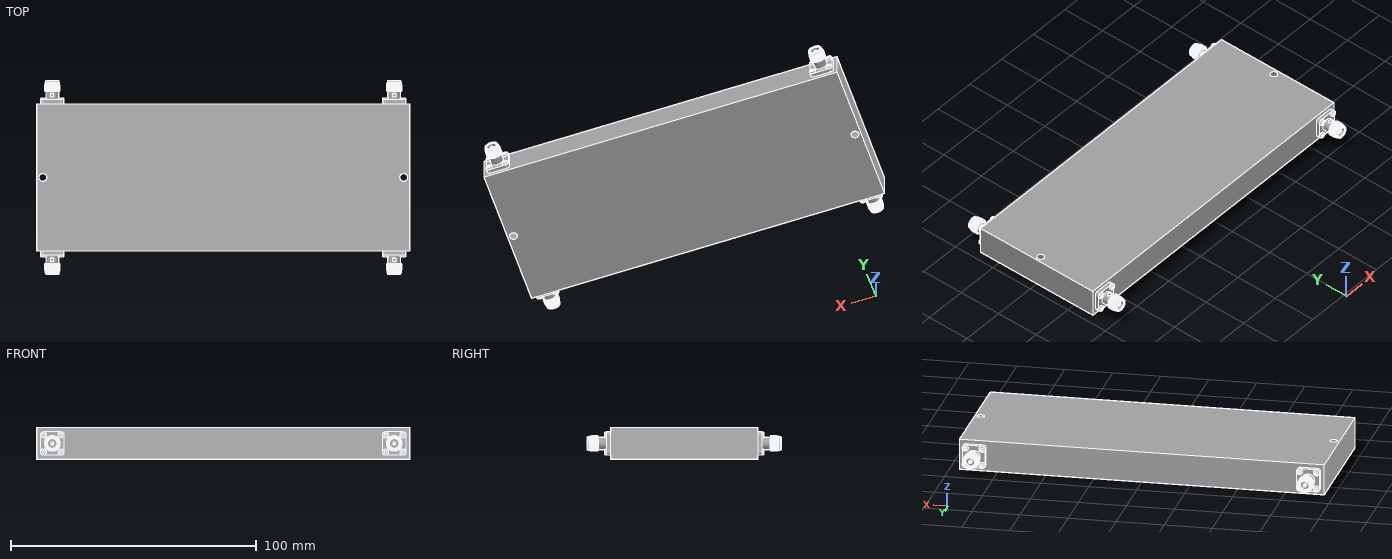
import cadquery as cq
import math

HOUSING_LENGTH = 152.0
HOUSING_WIDTH = 60.0
HOUSING_HEIGHT = 13.0
MOUNT_HOLE_DIAMETER = 3.1
MOUNT_HOLE_INSET = 2.5

OVERALL_WIDTH = 79.05
CONNECTOR_LENGTH = (OVERALL_WIDTH - HOUSING_WIDTH) / 2
CONNECTOR_INSET = 6.35
FLANGE_SIZE = 9.525
FLANGE_THICKNESS = 1.65
FLANGE_CORNER_RADIUS = 1.2

BARREL_DIAMETER = 5.3
THREAD_DIAMETER = 6.35
THREAD_START = 5.0
THREAD_PITCH = 25.4 / 36
THREAD_COUNT = math.floor((CONNECTOR_LENGTH - THREAD_START) / THREAD_PITCH)
THREAD_CREST = THREAD_PITCH * 0.4
NOSE_TAPER_LENGTH = 2.0

MOUTH_DIAMETER = 4.0
MOUTH_CHAMFER = 0.3
MOUTH_DEPTH = 1.9
CONTACT_DIAMETER = 1.2
CONTACT_PROTRUSION = 1.2
CONTACT_BORE_DIAMETER = 0.9
CONTACT_BORE_DEPTH = 2.5

SIDE_HOLE_DIAMETER = 1.6
SIDE_HOLE_POSITION = 3.5
SIDE_HOLE_DEPTH = 1.2

SCREW_SPACING = 7.0
SCREW_HEAD_DIAMETER = 2.5
SCREW_HEAD_HEIGHT = 0.8
SCREW_HEAD_FILLET = 0.4
SCREW_SOCKET_SIZE = 1.0
SCREW_SOCKET_DEPTH = 0.5


def make_housing():
    """Plain box with a vertical through hole near the middle of each short end."""
    hole_x = HOUSING_LENGTH / 2 - MOUNT_HOLE_INSET
    return (
        cq.Workplane("XY")
        .box(HOUSING_LENGTH, HOUSING_WIDTH, HOUSING_HEIGHT)
        .faces(">Z")
        .workplane()
        .pushPoints([(-hole_x, 0), (hole_x, 0)])
        .hole(MOUNT_HOLE_DIAMETER)
    )


def make_barrel():
    """Barrel along +Z with evenly spaced thread ridges that taper down at the nose."""
    root = BARREL_DIAMETER / 2
    crest = THREAD_DIAMETER / 2
    flank = (THREAD_PITCH - THREAD_CREST) / 2
    outline = cq.Workplane("XZ").lineTo(root, 0)
    for ridge in range(THREAD_COUNT):
        base = THREAD_START + ridge * THREAD_PITCH
        outline = (
            outline.lineTo(root, base)
            .lineTo(crest, base + flank)
            .lineTo(crest, base + flank + THREAD_CREST)
        )
    outline = (
        outline.lineTo(root, THREAD_START + THREAD_COUNT * THREAD_PITCH)
        .lineTo(root, CONNECTOR_LENGTH)
        .lineTo(0, CONNECTOR_LENGTH)
        .close()
    )
    threaded = outline.revolve(360, (0, 0, 0), (0, 1, 0))
    tapered_envelope = (
        cq.Workplane("XZ")
        .lineTo(crest, 0)
        .lineTo(crest, CONNECTOR_LENGTH - NOSE_TAPER_LENGTH)
        .lineTo(root, CONNECTOR_LENGTH)
        .lineTo(0, CONNECTOR_LENGTH)
        .close()
        .revolve(360, (0, 0, 0), (0, 1, 0))
    )
    return threaded.intersect(tapered_envelope)


def cut_mouth(barrel):
    """Open the barrel end, leaving a hollow centre contact standing on its floor."""
    floor = CONNECTOR_LENGTH - MOUTH_DEPTH
    contact_tip = floor + CONTACT_PROTRUSION
    mouth_radius = MOUTH_DIAMETER / 2
    mouth = (
        cq.Workplane("XZ")
        .moveTo(0, floor)
        .lineTo(mouth_radius, floor)
        .lineTo(mouth_radius, CONNECTOR_LENGTH - MOUTH_CHAMFER)
        .lineTo(mouth_radius + MOUTH_CHAMFER, CONNECTOR_LENGTH)
        .lineTo(0, CONNECTOR_LENGTH)
        .close()
        .revolve(360, (0, 0, 0), (0, 1, 0))
    )
    contact = (
        cq.Workplane("XY", origin=(0, 0, floor))
        .circle(CONTACT_DIAMETER / 2)
        .extrude(CONTACT_PROTRUSION)
    )
    contact_bore = (
        cq.Workplane("XY", origin=(0, 0, contact_tip))
        .circle(CONTACT_BORE_DIAMETER / 2)
        .extrude(-CONTACT_BORE_DEPTH)
    )
    return barrel.cut(mouth).union(contact).cut(contact_bore)


def make_screw_head():
    """Rounded screw head with a hexagonal socket, standing on the flange."""
    return (
        cq.Workplane("XY")
        .circle(SCREW_HEAD_DIAMETER / 2)
        .extrude(SCREW_HEAD_HEIGHT)
        .faces(">Z")
        .edges()
        .fillet(SCREW_HEAD_FILLET)
        .faces(">Z")
        .workplane()
        .polygon(6, SCREW_SOCKET_SIZE, circumscribed=True)
        .cutBlind(-SCREW_SOCKET_DEPTH)
    )


def make_connector():
    """Flanged connector along +Z, with its side hole facing +Y."""
    flange = (
        cq.Workplane("XY")
        .rect(FLANGE_SIZE, FLANGE_SIZE)
        .extrude(FLANGE_THICKNESS)
        .edges("|Z")
        .fillet(FLANGE_CORNER_RADIUS)
    )
    connector = flange.union(cut_mouth(make_barrel()))
    screw_head = make_screw_head()
    for side_x in (-1, 1):
        for side_y in (-1, 1):
            position = (side_x * SCREW_SPACING / 2, side_y * SCREW_SPACING / 2, FLANGE_THICKNESS)
            connector = connector.union(screw_head.translate(position))
    side_hole = (
        cq.Workplane("XZ", origin=(0, BARREL_DIAMETER / 2, SIDE_HOLE_POSITION))
        .circle(SIDE_HOLE_DIAMETER / 2)
        .extrude(SIDE_HOLE_DEPTH)
    )
    return connector.cut(side_hole)


def add_connectors(housing):
    """Place a connector near each end of both long walls, side holes facing up."""
    front_connector = (
        make_connector()
        .rotate((0, 0, 0), (1, 0, 0), 90)
        .translate((0, -HOUSING_WIDTH / 2, 0))
    )
    back_connector = front_connector.rotate((0, 0, 0), (0, 0, 1), 180)
    connector_x = HOUSING_LENGTH / 2 - CONNECTOR_INSET
    for side in (-1, 1):
        offset = (side * connector_x, 0, 0)
        housing = housing.union(front_connector.translate(offset))
        housing = housing.union(back_connector.translate(offset))
    return housing


result = add_connectors(make_housing())